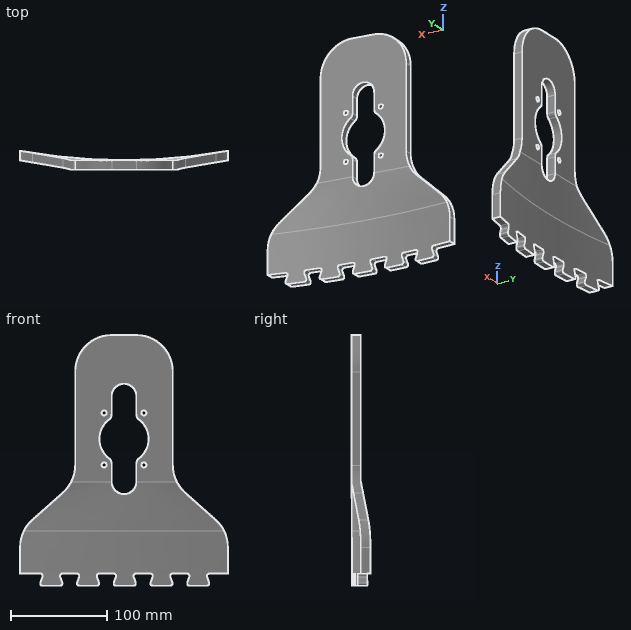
import cadquery as cq
import math

thickness = 10.0
total_height = 260.35
handle_half_width = 50.8
blade_half_width = 107.95
total_depth = 20.02
handle_corner_radius = 38.1
flare_fillet_radius = 38.1

tooth_height = 12.7
blade_height = 44.45
flare_height = 50.8
lower_fold_z = tooth_height + blade_height
upper_fold_z = lower_fold_z + flare_height

blade_setback = 0.4
back_rise = total_depth - blade_setback - thickness
back_radius = (blade_half_width**2 + back_rise**2) / (2 * back_rise)
front_radius = back_radius + thickness
axis_y = blade_setback + front_radius

stock_margin = 1.12
blade_half_angle = math.asin(blade_half_width / back_radius)
stock_half_angle = stock_margin * blade_half_angle
stock_handle_half_width = stock_margin * handle_half_width

slot_radius = 12.7
slot_half_spacing = 44.45
opening_radius = 25.4
opening_z = upper_fold_z + slot_half_spacing
opening_fillet_radius = 6.35

screw_hole_diameter = 5.0
screw_half_spacing_x = 20.6375
screw_half_spacing_z = 26.9875

tooth_count = 5
tooth_pitch = 38.1
tooth_row_offset = 0.79375
tooth_tip_width = 25.4
tooth_flank_angle = 20.0
tooth_fillet_radius = 2.54
tooth_root_width = tooth_tip_width - 2 * tooth_height * math.tan(math.radians(tooth_flank_angle))
tooth_row_half_length = tooth_pitch * (tooth_count - 1) / 2 + tooth_row_offset + tooth_tip_width / 2

trim_start_y = -10.0
trim_depth = 50.0

selection_margin = 1.0


def trim_plane():
    """XZ sketch plane in front of the part; a negative extrusion runs toward +Y."""
    return cq.Workplane("XZ", origin=(0, trim_start_y, 0))


def corner_region(half_width, bottom_z, top_z):
    """Selects edges centred between two heights, within a half width of the middle."""
    return cq.selectors.BoxSelector(
        (-half_width - selection_margin, trim_start_y, bottom_z - selection_margin),
        (half_width + selection_margin, trim_start_y + trim_depth, top_z + selection_margin),
    )


def arc_point(radius, angle):
    """Point in the XY plane on an arc about the blade axis, at an angle from the middle."""
    return (radius * math.sin(angle), axis_y - radius * math.cos(angle))


def curved_section(workplane):
    """Closed blade section between the concentric front and back arcs."""
    return (
        workplane.moveTo(*arc_point(front_radius, -stock_half_angle))
        .threePointArc(arc_point(front_radius, 0), arc_point(front_radius, stock_half_angle))
        .lineTo(*arc_point(back_radius, stock_half_angle))
        .threePointArc(arc_point(back_radius, 0), arc_point(back_radius, -stock_half_angle))
        .close()
    )


def flat_stock():
    return (
        cq.Workplane("XY", origin=(0, thickness / 2, upper_fold_z))
        .rect(2 * blade_half_width, thickness)
        .extrude(total_height - upper_fold_z)
    )


def flare_stock():
    """Ruled transition from the curved blade section to the flat handle section."""
    curved = curved_section(cq.Workplane("XY", origin=(0, 0, lower_fold_z)))
    return (
        curved.workplane(offset=flare_height, origin=(0, 0, lower_fold_z))
        .moveTo(-stock_handle_half_width, 0)
        .lineTo(stock_handle_half_width, 0)
        .lineTo(stock_handle_half_width, thickness)
        .lineTo(-stock_handle_half_width, thickness)
        .close()
        .loft(ruled=True)
    )


def blade_stock():
    return curved_section(cq.Workplane("XY")).extrude(lower_fold_z)


def body_outline():
    """Handle, flare and blade outline above the tooth roots, with rounded corners."""
    body = (
        trim_plane()
        .moveTo(-blade_half_width, tooth_height)
        .lineTo(-blade_half_width, lower_fold_z)
        .lineTo(-handle_half_width, upper_fold_z)
        .lineTo(-handle_half_width, total_height)
        .lineTo(handle_half_width, total_height)
        .lineTo(handle_half_width, upper_fold_z)
        .lineTo(blade_half_width, lower_fold_z)
        .lineTo(blade_half_width, tooth_height)
        .close()
        .extrude(-trim_depth)
    )
    body = body.faces(">Z").edges("|Y").fillet(handle_corner_radius)
    flare_corners = corner_region(blade_half_width, lower_fold_z, upper_fold_z)
    return body.edges("|Y").edges(flare_corners).fillet(flare_fillet_radius)


def tooth(center_x):
    return (
        trim_plane()
        .moveTo(center_x - tooth_root_width / 2, tooth_height)
        .lineTo(center_x - tooth_tip_width / 2, 0)
        .lineTo(center_x + tooth_tip_width / 2, 0)
        .lineTo(center_x + tooth_root_width / 2, tooth_height)
        .close()
        .extrude(-trim_depth)
    )


def toothed_outline():
    outline = body_outline()
    for index in range(tooth_count):
        steps_from_middle = index - (tooth_count - 1) / 2
        outline = outline.union(tooth(tooth_row_offset + steps_from_middle * tooth_pitch))
    tooth_corners = corner_region(tooth_row_half_length, 0, tooth_height)
    return outline.edges("|Y").edges(tooth_corners).fillet(tooth_fillet_radius)


def opening():
    slot_length = 2 * (slot_half_spacing + slot_radius)
    slot = trim_plane().center(0, opening_z).slot2D(slot_length, 2 * slot_radius, 90).extrude(-trim_depth)
    circle = trim_plane().center(0, opening_z).circle(opening_radius).extrude(-trim_depth)
    meeting_z = math.sqrt(opening_radius**2 - slot_radius**2)
    meeting_corners = corner_region(slot_radius, opening_z - meeting_z, opening_z + meeting_z)
    return slot.union(circle).edges("|Y").edges(meeting_corners).fillet(opening_fillet_radius)


def screw_holes():
    return (
        trim_plane()
        .center(0, opening_z)
        .rect(2 * screw_half_spacing_x, 2 * screw_half_spacing_z, forConstruction=True)
        .vertices()
        .circle(screw_hole_diameter / 2)
        .extrude(-trim_depth)
    )


stock = flat_stock().union(flare_stock()).union(blade_stock())
result = stock.intersect(toothed_outline()).cut(opening()).cut(screw_holes())